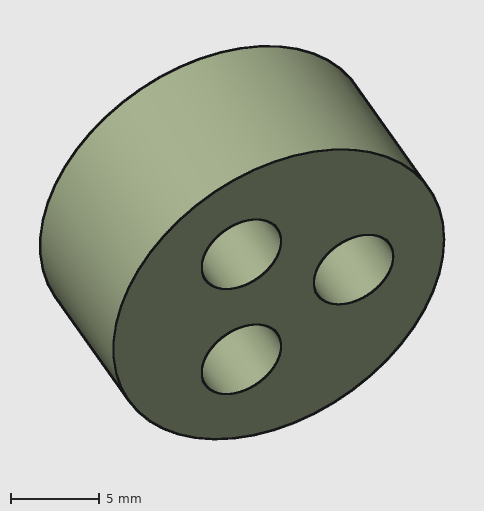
import cadquery as cq

disc_diameter = 20.8
disc_thickness = 9.5
hole_diameter = 5.0
hole_count = 3
hole_circle_radius = 4.7

disc = cq.Workplane("YZ").circle(disc_diameter / 2).extrude(disc_thickness)

holes = (
    cq.Workplane("YZ")
    .polarArray(hole_circle_radius, 0, 360, hole_count)
    .circle(hole_diameter / 2)
    .extrude(disc_thickness)
)

result = disc.cut(holes)